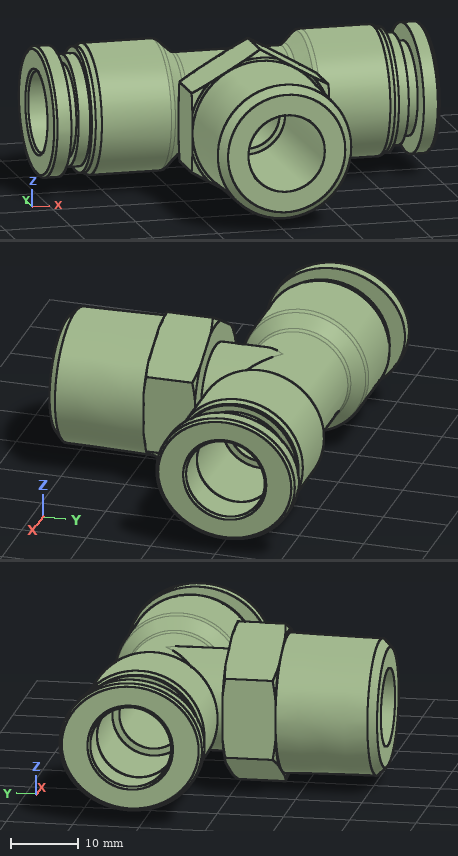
import cadquery as cq


OVERALL_LENGTH = 59.2
HALF_LENGTH = OVERALL_LENGTH / 2
PIPE_DIA = 15.2
HOUSING_DIA = 19.7
SHOULDER_DIA = 18.9
COLLAR_DIA = 16.9
COLLAR_DEPTH = 4.25
SHOULDER_DEPTH = 6.05
SHOULDER_LAND = 0.6
SHOULDER_BEVEL_LENGTH = 0.8
HOUSING_TAPER_DEPTH = 18.5
WAIST_DEPTH = 21.0
TAPER_FILLET = 1.0
RING_MARGIN = 0.05

FLOW_DIA = 10.0
SOCKET_DIA = 12.15
SOCKET_DEPTH = 18.35

FLANGE_WIDTH = 21.5
FLANGE_HEIGHT = 19.55
FLANGE_THICKNESS = 2.55
FLANGE_CHAMFER = 0.4
SLEEVE_DIA = 14.2
SLEEVE_BORE_DIA = 12.2
SLEEVE_LENGTH = 5.8
MOUTH_CHAMFER = 0.35

OVERALL_WIDTH = 44.2
STUD_END = OVERALL_WIDTH - FLANGE_WIDTH / 2
HEX_START = 10.4
HEX_LENGTH = 8.0
HEX_ACROSS_CORNERS = 24.3
HEX_FACE_DIA = 21.9
HEX_CHAMFER = 0.4
THREAD_ROOT_DIA = 20.95
THREAD_TIP_DIA = 20.5
THREAD_CHAMFER = 1.25
STUD_BORE_DIA = 11.7


def rod_x(diameter, start, end):
    """Cylinder on the X axis between two X positions."""
    return cq.Workplane("YZ", origin=(start, 0, 0)).circle(diameter / 2).extrude(end - start)


def rod_y(diameter, start, end):
    """Cylinder along -Y between two distances from the run axis."""
    return cq.Workplane("XZ", origin=(0, -start, 0)).circle(diameter / 2).extrude(end - start)


def on_right(depth):
    """X position at a depth inward from the +X end."""
    return HALF_LENGTH - depth


def make_run():
    """Solid run: waist in the middle, tapered housing, shoulder and collar at both ends."""
    bevel_start = SHOULDER_DEPTH + SHOULDER_LAND
    taper_corners = [
        (on_right(WAIST_DEPTH), PIPE_DIA / 2),
        (on_right(HOUSING_TAPER_DEPTH), HOUSING_DIA / 2),
    ]
    right_half = taper_corners + [
        (on_right(bevel_start + SHOULDER_BEVEL_LENGTH), HOUSING_DIA / 2),
        (on_right(bevel_start), SHOULDER_DIA / 2),
        (on_right(SHOULDER_DEPTH), SHOULDER_DIA / 2),
        (on_right(SHOULDER_DEPTH), COLLAR_DIA / 2),
        (on_right(COLLAR_DEPTH), COLLAR_DIA / 2),
        (on_right(COLLAR_DEPTH), 0),
    ]
    left_half = [(-x, radius) for x, radius in reversed(right_half)]
    run = cq.Workplane("XY").polyline(left_half + right_half).close().revolve(360, (0, 0, 0), (1, 0, 0))

    for x, radius in taper_corners:
        for side in (-1, 1):
            run = run.edges(ring_at(side * x, radius)).fillet(TAPER_FILLET)
    return run


def ring_at(x, radius):
    """Selector for the circular edge of a given radius around the X axis."""
    reach = radius + RING_MARGIN
    return cq.selectors.BoxSelector(
        (x - RING_MARGIN, -reach, -reach),
        (x + RING_MARGIN, reach, reach),
        boundingbox=True,
    )


def make_tee():
    branch = rod_y(PIPE_DIA, 0, HEX_START)
    tee = make_run().union(branch)

    flow_run = rod_x(FLOW_DIA, -HALF_LENGTH, HALF_LENGTH)
    flow_branch = rod_y(FLOW_DIA, 0, HEX_START)
    tee = tee.cut(flow_run).cut(flow_branch)

    socket = rod_x(SOCKET_DIA, on_right(SOCKET_DEPTH), on_right(0))
    sleeve_recess = rod_x(SLEEVE_DIA, on_right(SLEEVE_LENGTH), on_right(0))
    end_bore = socket.union(sleeve_recess)
    return tee.cut(end_bore).cut(end_bore.mirror("YZ"))


def make_sleeve(turn):
    """Release sleeve of the +X end, turned about Z by an angle in degrees."""
    flange = (
        cq.Workplane("YZ", origin=(on_right(FLANGE_THICKNESS), 0, 0))
        .ellipse(FLANGE_WIDTH / 2, FLANGE_HEIGHT / 2)
        .extrude(FLANGE_THICKNESS)
        .faces(">X").edges().chamfer(FLANGE_CHAMFER)
    )
    neck = rod_x(SLEEVE_DIA, on_right(SLEEVE_LENGTH), on_right(FLANGE_THICKNESS))
    bore = rod_x(SLEEVE_BORE_DIA, on_right(SLEEVE_LENGTH), on_right(0))
    sleeve = flange.union(neck).cut(bore)
    sleeve = sleeve.faces(">X").edges("%CIRCLE").chamfer(MOUTH_CHAMFER)
    return sleeve.rotate((0, 0, 0), (0, 0, 1), turn)


def make_hex():
    """Hexagon with corners on +Z and -Z and conically chamfered ends."""
    prism = (
        cq.Workplane("XZ", origin=(0, -HEX_START, 0))
        .transformed(rotate=(0, 0, 90))
        .polygon(6, HEX_ACROSS_CORNERS)
        .extrude(HEX_LENGTH)
    )
    chamfer_radial = (HEX_ACROSS_CORNERS - HEX_FACE_DIA) / 2
    envelope = (
        rod_y(HEX_ACROSS_CORNERS, HEX_START, HEX_START + HEX_LENGTH)
        .faces("<Y or >Y").edges()
        .chamfer(HEX_CHAMFER, chamfer_radial)
    )
    return prism.intersect(envelope)


def make_stud():
    hex_end = HEX_START + HEX_LENGTH
    thread_tip = STUD_END - THREAD_CHAMFER
    thread = (
        cq.Workplane("XY")
        .moveTo(0, -hex_end)
        .lineTo(THREAD_ROOT_DIA / 2, -hex_end)
        .lineTo(THREAD_TIP_DIA / 2, -thread_tip)
        .lineTo(THREAD_TIP_DIA / 2 - THREAD_CHAMFER, -STUD_END)
        .lineTo(0, -STUD_END)
        .close()
        .revolve(360, (0, 0, 0), (0, 1, 0))
    )
    bore = rod_y(STUD_BORE_DIA, HEX_START, STUD_END)
    return make_hex().union(thread).cut(bore)


tee = make_tee()
stud = make_stud()
sleeves = [make_sleeve(turn) for turn in (0, 180)]

result = cq.Compound.makeCompound([tee.val(), stud.val(), *[sleeve.val() for sleeve in sleeves]])